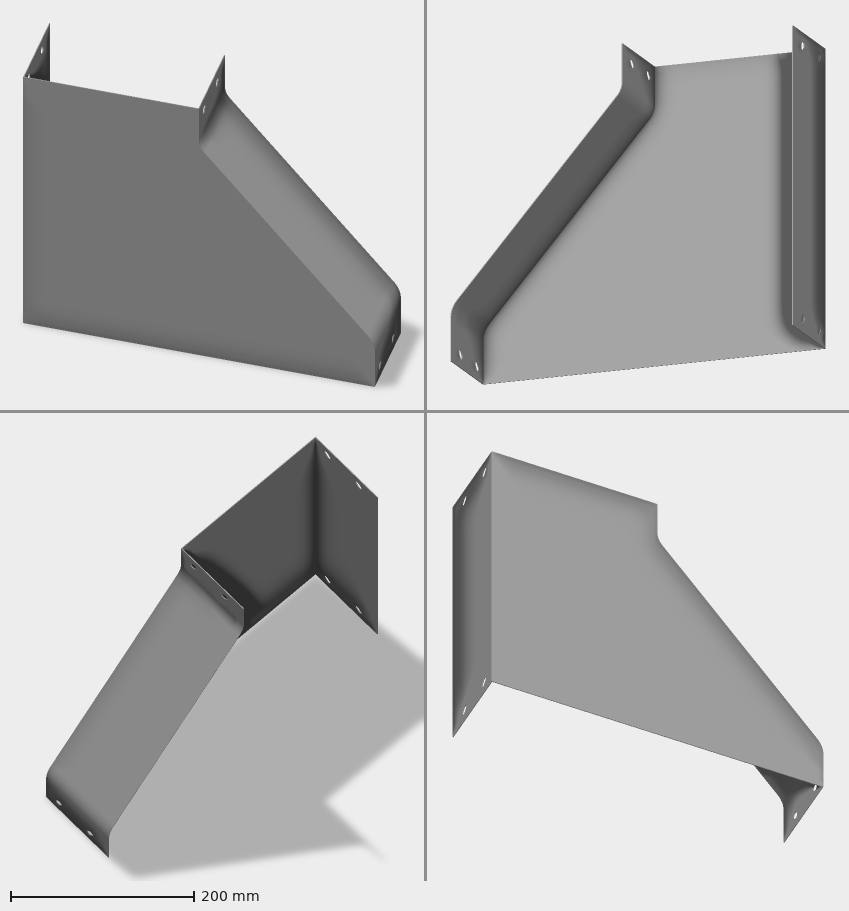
import cadquery as cq

length = 400.0
depth = 100.0
height = 340.0
sheet = 1.0

top_width = length / 2
slope_top = 288.0
slope_bottom = 60.0
inner_bend_radius = 23.0
outer_bend_radius = 30.0

slot_width = 7.0
slot_length = 11.0
slot_angle = 45.0
slot_edge_distance = 15.0
slot_near_web = 20.0
slot_spacing = 50.0


def solid_body():
    """Full-depth block with the reducer outline and its two rounded bends."""
    outline = [
        (0, 0),
        (length, 0),
        (length, slope_bottom),
        (top_width, slope_top),
        (top_width, height),
        (0, height),
    ]
    body = cq.Workplane("XZ").polyline(outline).close().extrude(-depth)

    def round_bend(block, x, z, radius):
        corner = cq.selectors.NearestToPointSelector((x, depth / 2, z))
        return block.edges("|Y").edges(corner).fillet(radius)

    body = round_bend(body, top_width, slope_top, inner_bend_radius)
    return round_bend(body, length, slope_bottom, outer_bend_radius)


def bent_sheet():
    """Web with a straight flange and a bent flange, open at top, bottom and back."""
    return solid_body().faces("<Z or >Z or >Y").shell(-sheet)


def fixing_slots(start_x, end_x, angle):
    """Slot cutters for one flange, tilted by angle from +Y towards +Z."""
    centres = [
        (y, z)
        for y in (slot_near_web, slot_near_web + slot_spacing)
        for z in (slot_edge_distance, height - slot_edge_distance)
    ]
    flange_plane = cq.Workplane("YZ", origin=(start_x, 0, 0))
    slots = flange_plane.pushPoints(centres).slot2D(slot_length, slot_width, angle)
    return slots.extrude(end_x - start_x)


middle = top_width / 2
straight_flange_slots = fixing_slots(0, middle, -slot_angle)
bent_flange_slots = fixing_slots(middle, length, slot_angle)
result = bent_sheet().cut(straight_flange_slots).cut(bent_flange_slots)